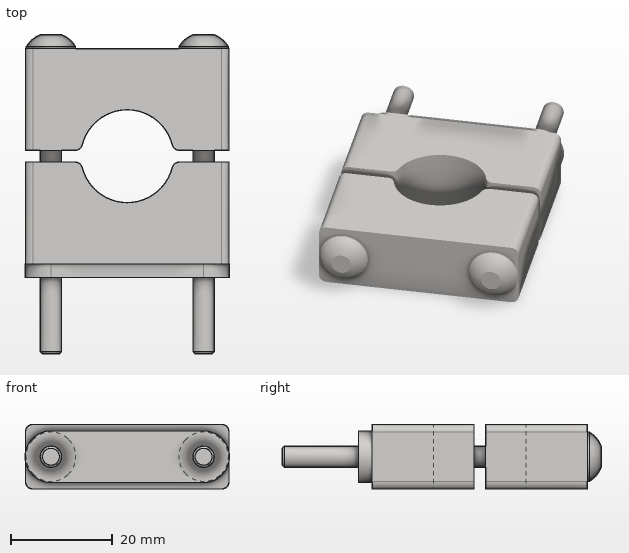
import cadquery as cq
import math


block_width = 40.0
block_depth = 20.0
block_height = 12.7
block_edge_radius = 1.5
split_gap = 2.25
bore_diameter = 18.2
bore_lip_radius = 1.5

plate_length = 40.1
plate_height = 10.15
plate_thickness = 2.7

bolt_spacing = 29.95
shank_diameter = 4.2
shank_chamfer = 0.45
shank_projection = 15.0
head_diameter = 9.7
head_rim_height = 0.4
head_height = 2.75
head_crown_diameter = 4.0

split_face = split_gap / 2
block_outer_face = split_face + block_depth
plate_outer_face = block_outer_face + plate_thickness
bolt_tip = plate_outer_face + shank_projection


def make_clamp_half():
    """Half of the block on the +Y side of the split, with its share of the bore."""
    half = (
        cq.Workplane("XZ", origin=(0, split_face, 0))
        .rect(block_width, block_height)
        .extrude(-block_depth)
        .edges("|Y")
        .fillet(block_edge_radius)
    )
    bore = cq.Workplane("XY").circle(bore_diameter / 2).extrude(block_height, both=True)
    half = half.cut(bore)

    lip_zone = cq.selectors.BoxSelector(
        (-bore_diameter / 2, 0, -block_height),
        (bore_diameter / 2, split_gap, block_height),
    )
    return half.edges("|Z").edges(lip_zone).fillet(bore_lip_radius)


def make_base_plate():
    """Plate with round ends lying against the -Y face of the block."""
    return (
        cq.Workplane("XZ", origin=(0, -block_outer_face, 0))
        .slot2D(plate_length, plate_height)
        .extrude(plate_thickness)
    )


def make_bolt(x):
    """Bolt with its domed head on the +Y face and a chamfered tip at -Y."""
    shank_radius = shank_diameter / 2
    head_radius = head_diameter / 2

    crown_radius = head_crown_diameter / 2

    rim_y = block_outer_face + head_rim_height
    crown_y = block_outer_face + head_height
    zone_height = crown_y - rim_y
    centre_below_rim = (head_radius**2 - crown_radius**2 - zone_height**2) / (2 * zone_height)
    sphere_radius = math.hypot(head_radius, centre_below_rim)
    mid_x = (head_radius + crown_radius) / 2
    mid_y = rim_y - centre_below_rim + math.sqrt(sphere_radius**2 - mid_x**2)

    profile = (
        cq.Workplane("XY")
        .moveTo(0, -bolt_tip)
        .lineTo(shank_radius - shank_chamfer, -bolt_tip)
        .lineTo(shank_radius, -bolt_tip + shank_chamfer)
        .lineTo(shank_radius, block_outer_face)
        .lineTo(head_radius, block_outer_face)
        .lineTo(head_radius, rim_y)
        .threePointArc((mid_x, mid_y), (crown_radius, crown_y))
        .lineTo(0, crown_y)
        .close()
    )
    bolt = profile.revolve(360, (0, 0, 0), (0, 1, 0))
    return bolt.translate((x, 0, 0))


upper_half = make_clamp_half()
lower_half = upper_half.mirror("XZ")

result = upper_half.union(lower_half).union(make_base_plate())
for side in (-1, 1):
    result = result.union(make_bolt(side * bolt_spacing / 2))